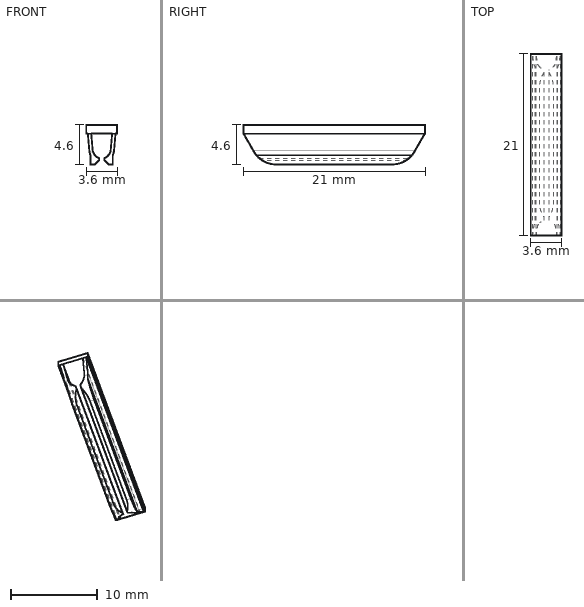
import cadquery as cq
import math

length = 21.0
width = 3.6
height = 4.6
plate_thickness = 1.0

leg_outer_top = 1.62
leg_thickness = 0.42
leg_lean = math.tan(math.radians(5))
bend_z = -2.96
foot_top_z = -3.53
foot_outer = 1.3
bend_bulge = 0.02

tip_x = 0.27
tip_top_z = -3.86
tip_bottom_z = -4.07
catch_arc_x = 0.75
catch_arc_z = -3.53

end_slope = math.tan(math.radians(30))
end_radius = 3.0


def make_plate():
    return cq.Workplane("XY").box(width, length, plate_thickness, centered=(True, True, False)).translate(
        (0, 0, -plate_thickness)
    )


def make_leg():
    """Full-length clip leg on the +X side."""
    lean_at_bend = leg_lean * (-plate_thickness - bend_z)
    bend_outer = leg_outer_top - lean_at_bend
    bend_inner = bend_outer - leg_thickness
    bend_middle = ((bend_outer + foot_outer) / 2 + bend_bulge, (bend_z + foot_top_z) / 2)
    lead_in_x = tip_x + height + tip_bottom_z
    return (
        cq.Workplane("XZ")
        .moveTo(leg_outer_top, -plate_thickness)
        .lineTo(bend_outer, bend_z)
        .threePointArc(bend_middle, (foot_outer, foot_top_z))
        .lineTo(foot_outer, -height)
        .lineTo(lead_in_x, -height)
        .lineTo(tip_x, tip_bottom_z)
        .lineTo(tip_x, tip_top_z)
        .threePointArc((catch_arc_x, catch_arc_z), (bend_inner, bend_z))
        .lineTo(leg_outer_top - leg_thickness, -plate_thickness)
        .close()
        .extrude(length / 2, both=True)
    )


def make_end_envelope():
    """Tapered block with rounded lower ends that trims both legs."""
    half_top = length / 2
    half_bottom = half_top - end_slope * (height - plate_thickness)
    return (
        cq.Workplane("YZ")
        .polyline([
            (-half_top, -plate_thickness),
            (half_top, -plate_thickness),
            (half_bottom, -height),
            (-half_bottom, -height),
        ])
        .close()
        .extrude(width / 2, both=True)
        .edges("|X and <Z")
        .fillet(end_radius)
    )


right_leg = make_leg()
legs = right_leg.union(right_leg.mirror("YZ")).intersect(make_end_envelope())
result = make_plate().union(legs)